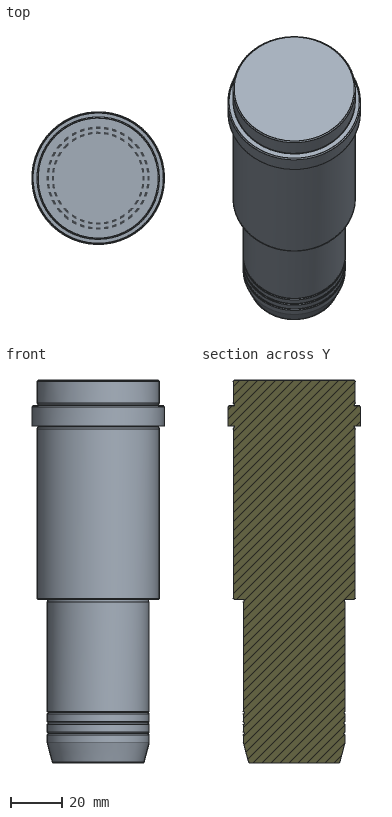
import cadquery as cq

total_length = 150.0
collar_top_depth = 10.0
collar_height = 8.0
body_bottom_depth = 86.0
tip_length = 8.0

body_radius = 24.0
collar_radius = 26.0
shank_radius = 20.0
tip_end_radius = 18.0

edge_chamfer = 0.5
tip_chamfer = 0.4

relief_depth = 0.4
relief_taper_length = 0.8
head_relief_length = 1.15
body_relief_length = 1.05

shank_relief_depth = 0.2
shank_relief_length = 0.85

groove_count = 3
groove_pitch = 4.1
groove_width = 1.0
groove_depth = 0.5
top_groove_below_top = 130.2

collar_top = total_length - collar_top_depth
collar_bottom = collar_top - collar_height
head_bottom = collar_top + head_relief_length
body_top = collar_bottom - body_relief_length
body_bottom = total_length - body_bottom_depth
shank_top = body_bottom - shank_relief_length
top_groove_height = total_length - top_groove_below_top


def make_pin():
    """Revolve the stepped half profile about the Z axis."""
    neck_radius = body_radius - relief_depth
    shank_neck_radius = shank_radius - shank_relief_depth
    profile = (
        cq.Workplane("XZ")
        .lineTo(tip_end_radius - tip_chamfer, 0)
        .lineTo(tip_end_radius, tip_chamfer)
        .lineTo(shank_radius, tip_length)
        .lineTo(shank_radius, shank_top)
        .lineTo(shank_neck_radius, shank_top)
        .lineTo(shank_neck_radius, body_bottom)
        .lineTo(body_radius - edge_chamfer, body_bottom)
        .lineTo(body_radius, body_bottom + edge_chamfer)
        .lineTo(body_radius, body_top)
        .lineTo(neck_radius, body_top + relief_taper_length)
        .lineTo(neck_radius, collar_bottom)
        .lineTo(collar_radius, collar_bottom)
        .lineTo(collar_radius, collar_top - edge_chamfer)
        .lineTo(collar_radius - edge_chamfer, collar_top)
        .lineTo(neck_radius, collar_top)
        .lineTo(neck_radius, head_bottom - relief_taper_length)
        .lineTo(body_radius, head_bottom)
        .lineTo(body_radius, total_length - edge_chamfer)
        .lineTo(body_radius - edge_chamfer, total_length)
        .lineTo(0, total_length)
        .close()
    )
    return profile.revolve(360, (0, 0, 0), (0, 1, 0))


def make_groove_cutter(center_height):
    """Ring of triangular section that cuts one oil groove into the shank."""
    section = (
        cq.Workplane("XZ")
        .moveTo(shank_radius, center_height - groove_width / 2)
        .lineTo(shank_radius, center_height + groove_width / 2)
        .lineTo(shank_radius - groove_depth, center_height)
        .close()
    )
    return section.revolve(360, (0, 0, 0), (0, 1, 0))


result = make_pin()
for index in range(groove_count):
    result = result.cut(make_groove_cutter(top_groove_height - index * groove_pitch))